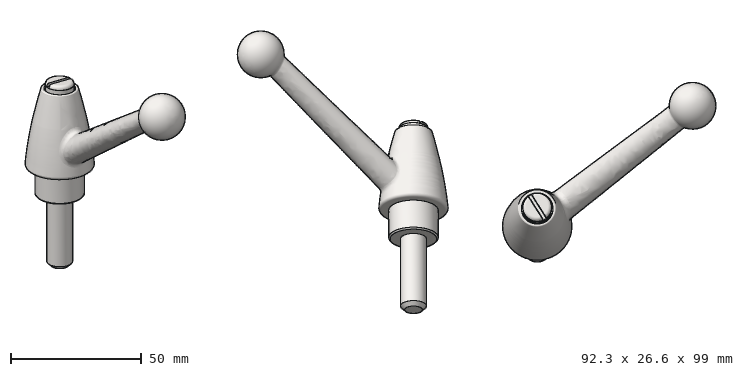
import cadquery as cq
import math

stud_radius = 10.0 / 2
stud_chamfer = 1.6
collar_radius = 19.0 / 2
collar_bottom_z = 29.9
collar_chamfer = 0.6
body_bottom_z = 41.9
body_top_z = 74.8
body_base_radius = 26.6 / 2
body_base_fillet = 1.2
body_mid_radius = 10.8
body_mid_z = 60.1
body_top_radius = 7.3
body_top_fillet = 0.5

shank_radius = 11.0 / 2
head_radius = 11.2 / 2
head_top_z = 77.9
head_fillet = 1.4
slot_width = 1.4
slot_depth = 1.5
recess_radius = 6.0
recess_depth = 1.0

overall_height = 99
overall_length = 92.3
ball_radius = 9.0
ball_x = overall_length - body_base_radius - ball_radius
ball_z = overall_height - ball_radius

lever_angle = 33.5
lever_start_z = 45.6
lever_length = 78.2
lever_start_height = 11.6
lever_start_width = 12.6
lever_end_height = 8.2
lever_end_width = 10.0
root_fillet = 2.0
neck_fillet = 1.0

overlap = 1.0


def turned_cylinder(radius, bottom_z, top_z):
    return cq.Workplane("XY").workplane(offset=bottom_z).circle(radius).extrude(top_z - bottom_z)


def make_body():
    """Bell-shaped hub with a gently bowed flank."""
    profile = (
        cq.Workplane("XZ")
        .moveTo(0, body_bottom_z)
        .lineTo(body_base_radius - body_base_fillet, body_bottom_z)
        .radiusArc((body_base_radius, body_bottom_z + body_base_fillet), -body_base_fillet)
        .threePointArc((body_mid_radius, body_mid_z), (body_top_radius, body_top_z - body_top_fillet))
        .radiusArc((body_top_radius - body_top_fillet, body_top_z), -body_top_fillet)
        .lineTo(0, body_top_z)
        .close()
    )
    return profile.revolve(360, (0, 0, 0), (0, 1, 0))


def make_lever():
    """Tapered elliptical bar rising from the hub axis into the ball."""
    angle = math.radians(lever_angle)
    section_plane = cq.Plane(
        origin=(0, 0, lever_start_z),
        xDir=(0, 1, 0),
        normal=(math.cos(angle), 0, math.sin(angle)),
    )
    return (
        cq.Workplane(section_plane)
        .ellipse(lever_start_width / 2, lever_start_height / 2)
        .workplane(offset=lever_length)
        .ellipse(lever_end_width / 2, lever_end_height / 2)
        .loft(combine=True)
    )


def make_handle():
    """Hub, lever and ball blended into one casting."""
    ball = cq.Workplane("XY").sphere(ball_radius).translate((ball_x, 0, ball_z))
    handle = make_body().union(make_lever()).union(ball)
    rim_clearance = 2 * body_base_fillet
    lever_root = cq.selectors.BoxSelector(
        (body_top_radius, -body_base_radius, body_bottom_z + rim_clearance),
        (2 * body_base_radius, body_base_radius, body_top_z - rim_clearance),
    )
    lever_neck = cq.selectors.BoxSelector(
        (ball_x - ball_radius, -ball_radius, ball_z - ball_radius),
        (ball_x - ball_radius / 2, ball_radius, ball_z + ball_radius),
    )
    handle = handle.edges(lever_root).fillet(root_fillet)
    return handle.edges(lever_neck).fillet(neck_fillet)


def make_screw_head():
    shank = turned_cylinder(shank_radius, body_top_z - recess_depth - overlap, head_top_z - slot_depth)
    head = turned_cylinder(head_radius, head_top_z - slot_depth, head_top_z)
    head = head.faces(">Z").edges().fillet(head_fillet)
    slot = (
        cq.Workplane("XY")
        .box(slot_width, 2 * head_radius, slot_depth, centered=(True, True, False))
        .translate((0, 0, head_top_z - slot_depth))
    )
    return head.cut(slot).union(shank)


stud = turned_cylinder(stud_radius, 0, body_bottom_z).faces("<Z").chamfer(stud_chamfer)
collar = turned_cylinder(collar_radius, collar_bottom_z, body_bottom_z + overlap)
collar = collar.faces("<Z").chamfer(collar_chamfer)
recess = turned_cylinder(recess_radius, body_top_z - recess_depth, body_top_z + overlap)

result = make_handle().cut(recess).union(make_screw_head()).union(collar).union(stud)